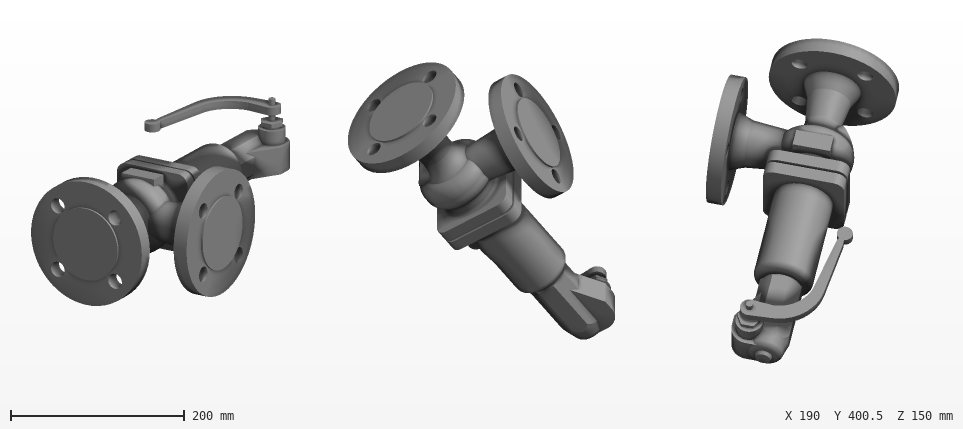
import cadquery as cq
import math


CENTER_TO_FACE = 115.0
FLANGE_DIAMETER = 150.0
FLANGE_RADIUS = FLANGE_DIAMETER / 2
FACE_RADIUS = 43.5
FACE_HEIGHT = 2.5
FLANGE_DEPTH = 20.0
BOLT_CIRCLE_RADIUS = 55.0
BOLT_HOLE_RADIUS = 9.2
BOLT_COUNT = 4
HUB_RADIUS = 34.0

INLET_HUB_END = 38.0
INLET_NECK_RADIUS = 25.5
INLET_THROAT = 72.5
INLET_THROAT_RADIUS = 21.0

OUTLET_HUB_END = 77.3
OUTLET_NECK_RADIUS = 27.5
OUTLET_ROOT_RADIUS = 21.0

BOWL_RADIUS = 45.3
BOWL_BAND_BOTTOM = 111.7
BOWL_BAND_TOP = 117.7
BOWL_ROUND_LOW = 17.2
BOWL_ROUND_HIGH = 16.0
BOWL_FOOT_RADIUS = 31.0
BODY_NECK_RADIUS = 35.2
BODY_NECK_FILLET = 3.2
COLLAR_FILLET = 4.0

STUB_RADIUS = 18.0
STUB_END = (-32.0, 86.0)
STUB_TILT = 36.0
STUB_LENGTH = 32.0

BLOCK_WIDTH = 44.0
BLOCK_BOTTOM = 115.0
BLOCK_TOP = 135.5
BLOCK_HEIGHT = 48.0

JOINT_SIDE = 95.7
JOINT_CORNER = 13.2
JOINT_BOTTOM = 146.0
JOINT_PLATE = 14.0
BONNET_BOTTOM_PLATE = 163.5
BONNET_PLATE_TOP = 178.0
GASKET_RADIUS = 37.5

BONNET_RADIUS = 35.0
BONNET_TOP = 294.8
BONNET_ROUND = 8.5
STEM_RADIUS = 18.5
SEAT_BOTTOM = 297.5
SEAT_RADIUS = 23.5

CAP_BOTTOM = 300.5
CAP_ACROSS_FLATS = 49.3
CAP_SIDES = 8
TAPER_BOTTOM = 369.0
TAPER_BOTTOM_RADIUS = 27.0
TAPER_TOP = 388.5
TAPER_TOP_RADIUS = 21.5
DOME_TOP = 396.0
DOME_TOP_RADIUS = 13.0
DOME_ROUND = 9.0
TIP_TOP = 400.5
TIP_BASE_RADIUS = 10.5
TIP_TOP_RADIUS = 9.0

SHAFT_X = 21.5
SHAFT_Y = 373.3
SHAFT_RADIUS = 4.0
SHAFT_TOP = 68.5
BOSS_RADIUS = 16.0
BOSS_TOP = 33.5
WASHER_RADIUS = 11.0
NUT_BOTTOM = 37.0
NUT_TOP = 41.5
NUT_ACROSS_FLATS = 25.0
NUT_SIDES = 6
HOUSING_RADIUS = 21.0
HOUSING_HALF_DEPTH = 16.5
HOUSING_SHOULDER = 359.2
HOUSING_TIP = (18.0, 321.0)

LEVER_BOTTOM = 51.3
LEVER_TOP = 61.0
LEVER_EYE_RADIUS = 11.0
LEVER_OUTER_BEND = [(-5.2, 382.5), (-39.2, 369.5), (-58.0, 334.5)]
LEVER_INNER_BEND = [(-5.2, 365.0), (-31.2, 354.0), (-44.5, 333.2)]
LEVER_OUTER_TIP = (-65.5, 264.5)
LEVER_INNER_TIP = (-57.5, 260.7)
KNOB_CENTER = (-64.5, 250.7)
KNOB_RADIUS = 9.2


def revolve_y(profile):
    """Revolve a closed XY profile around the spindle axis."""
    return profile.close().revolve(360, (0, 0, 0), (0, 1, 0))


def rod_z(x, y, radius, bottom, top):
    """Round bar parallel to Z."""
    return cq.Workplane("XY", (0, 0, bottom)).center(x, y).circle(radius).extrude(top - bottom)


def square_plate(bottom, top):
    """Square joint plate with rounded corners, normal to the spindle."""
    plate = cq.Workplane("XY").box(JOINT_SIDE, top - bottom, JOINT_SIDE)
    return plate.edges("|Y").fillet(JOINT_CORNER).translate((0, (bottom + top) / 2, 0))


def branch(hub_end, neck_radius, root, root_radius):
    """Flange, hub and neck along Y with the flange face at Y = 0."""
    solid = revolve_y(
        cq.Workplane("XY")
        .moveTo(0, 0)
        .lineTo(FACE_RADIUS, 0)
        .lineTo(FACE_RADIUS, FACE_HEIGHT)
        .lineTo(FLANGE_RADIUS, FACE_HEIGHT)
        .lineTo(FLANGE_RADIUS, FLANGE_DEPTH)
        .lineTo(HUB_RADIUS, FLANGE_DEPTH)
        .lineTo(neck_radius, hub_end)
        .lineTo(root_radius, root)
        .lineTo(0, root)
    )
    holes = (
        cq.Workplane("XZ")
        .polarArray(BOLT_CIRCLE_RADIUS, 180 / BOLT_COUNT, 360, BOLT_COUNT)
        .circle(BOLT_HOLE_RADIUS)
        .extrude(-FLANGE_DEPTH)
    )
    return solid.cut(holes)


def bowl():
    """Rounded body bowl, from the inlet throat up to the joint plate."""
    low_center_x = BOWL_RADIUS - BOWL_ROUND_LOW
    high_center_x = BOWL_RADIUS - BOWL_ROUND_HIGH
    foot_y = BOWL_BAND_BOTTOM - math.sqrt(BOWL_ROUND_LOW**2 - (BOWL_FOOT_RADIUS - low_center_x) ** 2)

    hollow_rise = foot_y - INLET_THROAT
    hollow_run = BOWL_FOOT_RADIUS - INLET_THROAT_RADIUS
    hollow_radius = (hollow_rise**2 + hollow_run**2) / (2 * hollow_run)

    fillet_dx = BODY_NECK_RADIUS + BODY_NECK_FILLET - high_center_x
    fillet_dy = math.sqrt((BOWL_ROUND_HIGH + BODY_NECK_FILLET) ** 2 - fillet_dx**2)
    tangent_share = BOWL_ROUND_HIGH / (BOWL_ROUND_HIGH + BODY_NECK_FILLET)
    tangent_point = (
        high_center_x + fillet_dx * tangent_share,
        BOWL_BAND_TOP + fillet_dy * tangent_share,
    )

    return revolve_y(
        cq.Workplane("XY")
        .moveTo(0, INLET_THROAT)
        .lineTo(INLET_THROAT_RADIUS, INLET_THROAT)
        .radiusArc((BOWL_FOOT_RADIUS, foot_y), hollow_radius)
        .radiusArc((BOWL_RADIUS, BOWL_BAND_BOTTOM), -BOWL_ROUND_LOW)
        .lineTo(BOWL_RADIUS, BOWL_BAND_TOP)
        .radiusArc(tangent_point, -BOWL_ROUND_HIGH)
        .radiusArc((BODY_NECK_RADIUS, BOWL_BAND_TOP + fillet_dy), BODY_NECK_FILLET)
        .lineTo(BODY_NECK_RADIUS, JOINT_BOTTOM - COLLAR_FILLET)
        .radiusArc((BODY_NECK_RADIUS + COLLAR_FILLET, JOINT_BOTTOM), COLLAR_FILLET)
        .lineTo(0, JOINT_BOTTOM)
    )


def stub():
    """Closed cylindrical stub sloping down and outward from the bowl."""
    tilt = math.radians(STUB_TILT)
    inward = (math.cos(tilt), math.sin(tilt), 0)
    plane = cq.Plane((STUB_END[0], STUB_END[1], 0), (0, 0, 1), inward)
    return cq.Workplane(plane).circle(STUB_RADIUS).extrude(STUB_LENGTH)


def identification_block():
    """Flat-topped block on the +Z side of the bowl."""
    block = cq.Workplane("XY").box(
        BLOCK_WIDTH, BLOCK_TOP - BLOCK_BOTTOM, BLOCK_HEIGHT, centered=(True, False, False)
    )
    return block.translate((0, BLOCK_BOTTOM, 0))


def bonnet():
    """Spring bonnet with gasket below and a stepped seat for the cap on top."""
    return revolve_y(
        cq.Workplane("XY")
        .moveTo(0, JOINT_BOTTOM)
        .lineTo(GASKET_RADIUS, JOINT_BOTTOM)
        .lineTo(GASKET_RADIUS, BONNET_BOTTOM_PLATE)
        .lineTo(BONNET_RADIUS, BONNET_BOTTOM_PLATE)
        .lineTo(BONNET_RADIUS, BONNET_TOP - BONNET_ROUND)
        .radiusArc((BONNET_RADIUS - BONNET_ROUND, BONNET_TOP), -BONNET_ROUND)
        .lineTo(STEM_RADIUS, BONNET_TOP)
        .lineTo(STEM_RADIUS, SEAT_BOTTOM)
        .lineTo(SEAT_RADIUS, SEAT_BOTTOM)
        .lineTo(SEAT_RADIUS, CAP_BOTTOM)
        .lineTo(0, CAP_BOTTOM)
    )


def cap():
    """Octagonal cap trimmed by a tapered, domed outline."""
    corner_radius = CAP_ACROSS_FLATS / 2 / math.cos(math.pi / CAP_SIDES)
    prism = (
        cq.Workplane("XZ", (0, CAP_BOTTOM, 0))
        .polygon(CAP_SIDES, 2 * corner_radius)
        .extrude(CAP_BOTTOM - TIP_TOP)
        .rotate((0, 0, 0), (0, 1, 0), 180 / CAP_SIDES)
    )
    outline = revolve_y(
        cq.Workplane("XY")
        .moveTo(0, CAP_BOTTOM)
        .lineTo(TAPER_BOTTOM_RADIUS, CAP_BOTTOM)
        .lineTo(TAPER_BOTTOM_RADIUS, TAPER_BOTTOM)
        .lineTo(TAPER_TOP_RADIUS, TAPER_TOP)
        .radiusArc((DOME_TOP_RADIUS, DOME_TOP), -DOME_ROUND)
        .lineTo(TIP_BASE_RADIUS, DOME_TOP)
        .lineTo(TIP_TOP_RADIUS, TIP_TOP)
        .lineTo(0, TIP_TOP)
    )
    return prism.intersect(outline)


def lever_housing():
    """Side housing of the cap with boss, washer, nut and lever shaft."""
    housing_right = SHAFT_X + HOUSING_RADIUS
    plate = (
        cq.Workplane("XY", (0, 0, -HOUSING_HALF_DEPTH))
        .moveTo(0, HOUSING_TIP[1])
        .lineTo(*HOUSING_TIP)
        .lineTo(housing_right, HOUSING_SHOULDER)
        .lineTo(housing_right, SHAFT_Y)
        .radiusArc((SHAFT_X, SHAFT_Y + HOUSING_RADIUS), -HOUSING_RADIUS)
        .lineTo(0, SHAFT_Y + HOUSING_RADIUS)
        .close()
        .extrude(2 * HOUSING_HALF_DEPTH)
    )
    nut = (
        cq.Workplane("XY", (0, 0, NUT_BOTTOM))
        .center(SHAFT_X, SHAFT_Y)
        .polygon(NUT_SIDES, NUT_ACROSS_FLATS / math.cos(math.pi / NUT_SIDES))
        .extrude(NUT_TOP - NUT_BOTTOM)
    )
    return (
        plate.union(rod_z(SHAFT_X, SHAFT_Y, BOSS_RADIUS, 0, BOSS_TOP))
        .union(rod_z(SHAFT_X, SHAFT_Y, WASHER_RADIUS, 0, NUT_BOTTOM))
        .union(nut)
        .union(rod_z(SHAFT_X, SHAFT_Y, SHAFT_RADIUS, 0, SHAFT_TOP))
    )


def lever():
    """Bent flat lever with an eye on the shaft and a round knob at its free end."""
    arm = (
        cq.Workplane("XY", (0, 0, LEVER_BOTTOM))
        .moveTo(SHAFT_X, SHAFT_Y + LEVER_EYE_RADIUS)
        .lineTo(*LEVER_OUTER_BEND[0])
        .threePointArc(LEVER_OUTER_BEND[1], LEVER_OUTER_BEND[2])
        .lineTo(*LEVER_OUTER_TIP)
        .lineTo(*KNOB_CENTER)
        .lineTo(*LEVER_INNER_TIP)
        .lineTo(*LEVER_INNER_BEND[2])
        .threePointArc(LEVER_INNER_BEND[1], LEVER_INNER_BEND[0])
        .lineTo(SHAFT_X, SHAFT_Y - LEVER_EYE_RADIUS)
        .close()
        .extrude(LEVER_TOP - LEVER_BOTTOM)
    )
    eye = rod_z(SHAFT_X, SHAFT_Y, LEVER_EYE_RADIUS, LEVER_BOTTOM, LEVER_TOP)
    knob = rod_z(*KNOB_CENTER, KNOB_RADIUS, LEVER_BOTTOM, LEVER_TOP)
    return arm.union(eye).union(knob)


inlet = branch(INLET_HUB_END, INLET_NECK_RADIUS, INLET_THROAT, INLET_THROAT_RADIUS)
outlet = (
    branch(CENTER_TO_FACE - OUTLET_HUB_END, OUTLET_NECK_RADIUS, CENTER_TO_FACE, OUTLET_ROOT_RADIUS)
    .rotate((0, 0, 0), (0, 0, 1), 90)
    .translate((CENTER_TO_FACE, CENTER_TO_FACE, 0))
)

result = (
    inlet.union(bowl())
    .union(outlet)
    .union(stub())
    .union(identification_block())
    .union(square_plate(JOINT_BOTTOM, JOINT_BOTTOM + JOINT_PLATE))
    .union(square_plate(BONNET_BOTTOM_PLATE, BONNET_PLATE_TOP))
    .union(bonnet())
    .union(cap().union(lever_housing()))
    .union(lever())
)